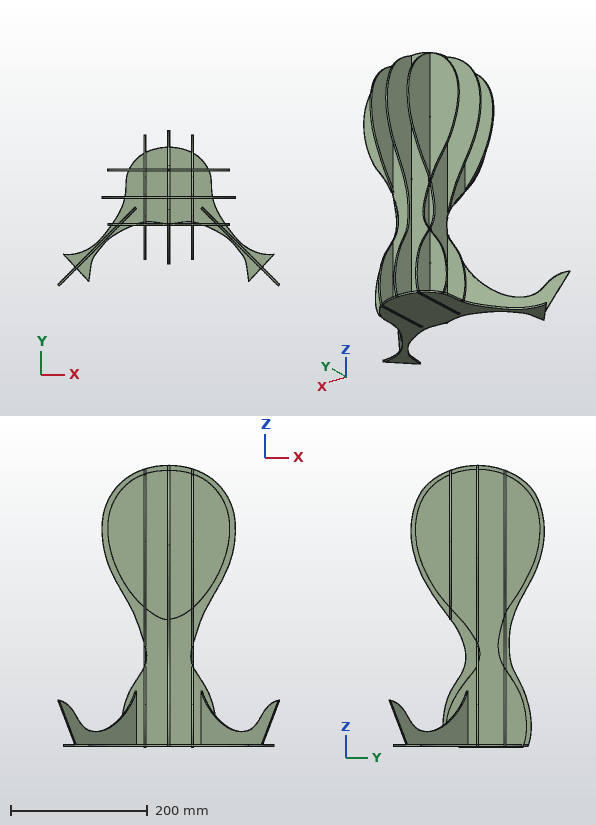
import cadquery as cq
import math


sheet = 3.0
total_height = 412.42
total_width = 324.64
rib_spacing = 35.0
plate_spacing = 40.0

base_bottom = 1.0
base_top = base_bottom + sheet
base_back = 73.5
base_front = -39.0
foot_back_corner = (154.2, -83.2)
foot_front_corner = (116.8, -123.2)
base_side_edge = [
    (29.0, 68.0), (42.0, 60.7), (50.5, 52.5), (57.5, 42.0), (61.5, 31.0), (62.8, 12.0), (66.0, -7.0),
    (72.0, -21.5), (90.0, -49.0), (107.0, -68.0), (124.0, -78.5),
]
base_front_edge = [
    (114.3, -103.5), (111.0, -90.0), (102.0, -76.7), (90.0, -63.0), (69.0, -49.0), (50.0, -40.3), (30.0, -35.8),
]

leg_angle = 45.0
leg_length = 160.0
leg_foot_length = 125.0
leg_back_height = 82.0
leg_tip_height = 68.8
half_across = sheet / 2 * math.sin(math.radians(leg_angle))
leg_tip_x = total_width / 2 - half_across
leg_tip_y = -128.5
leg_start_x = leg_tip_x - leg_length * math.cos(math.radians(leg_angle))
leg_start_y = leg_tip_y + leg_length * math.sin(math.radians(leg_angle))
leg_top_edge = [
    (9.0, 66.0), (25.0, 48.0), (47.0, 32.6), (66.0, 25.0), (86.0, 23.0), (101.0, 25.8), (115.0, 34.5),
    (128.0, 50.0), (142.0, 62.0),
]

middle_rib_front = [
    (-41.0, base_bottom), (-49.5, 19.0), (-50.7, 37.0), (-47.5, 60.0), (-38.5, 84.0), (-27.4, 101.3),
    (-19.2, 119.0), (-17.8, 138.0), (-21.0, 152.0), (-31.5, 175.4), (-49.4, 200.0), (-66.8, 224.7),
    (-81.0, 249.4), (-90.8, 274.0), (-97.7, 315.0), (-93.5, 348.0), (-81.5, 375.0), (-56.0, 397.5),
]
middle_rib_back = [
    (56.0, 397.5), (81.5, 375.0), (93.5, 348.0), (97.7, 315.0), (90.8, 274.0), (81.0, 249.4), (67.5, 224.7),
    (55.5, 200.0), (48.2, 175.4), (46.4, 145.0), (50.7, 117.8), (59.0, 101.3), (70.0, 76.6), (77.0, 50.0),
    (78.5, 25.0), (73.7, base_bottom),
]
side_rib_top = 406.6
side_rib_front = [
    (-36.0, base_top), (-45.8, 30.0), (-42.5, 52.0), (-26.0, 84.8), (-13.7, 101.3), (-1.4, 117.8), (3.0, 133.0),
    (2.5, 144.0), (-4.0, 158.9), (-15.0, 175.4), (-36.5, 200.0), (-57.6, 224.7), (-72.7, 249.4), (-83.5, 274.0),
    (-91.0, 315.0), (-86.8, 348.0), (-73.0, 375.0), (-43.2, 397.5),
]
side_rib_back = [
    (43.2, 397.5), (73.0, 375.0), (87.4, 348.0), (91.0, 315.0), (83.7, 274.0), (72.7, 249.4), (59.0, 224.7),
    (42.5, 200.0), (34.3, 175.4), (30.0, 150.0), (34.3, 126.0), (49.4, 101.3), (65.8, 68.4), (71.3, 35.5),
    (71.0, 20.0), (66.0, 0.0),
]
rib_tab_front = -27.0

middle_plate_edge = [
    (64.8, base_bottom), (69.0, 20.0), (68.0, 46.5), (58.5, 79.4), (43.9, 104.0), (36.0, 117.0), (32.5, 134.0),
    (36.0, 152.0), (41.5, 169.9), (50.7, 194.6), (63.8, 219.2), (77.9, 243.9), (89.0, 268.6), (97.7, 315.0),
    (95.3, 342.7), (85.5, 367.4), (64.0, 392.0),
]
outer_plate_top = 405.0
outer_plate_head = [
    (50.0, 219.2), (67.2, 243.9), (79.0, 268.6), (88.8, 310.0), (86.6, 342.7), (76.0, 367.4), (51.4, 392.0),
]
front_plate_bottom = 187.0
front_plate_edge = [(21.3, 194.0), *outer_plate_head]
back_plate_edge = [
    (60.0, base_bottom), (66.5, 20.0), (66.0, 46.5), (57.0, 79.4), (41.0, 104.0), (24.0, 134.0),
    (26.0, 165.0), (37.0, 194.6), *outer_plate_head,
]


def mirrored(points):
    """The points reflected in the vertical axis, in reverse order."""
    return [(-across, up) for across, up in reversed(points)]


def make_rib(x, front_edge, back_edge, top, foot=()):
    """Rib centred on the plane at x; foot lists bottom corners between the back and front edges."""
    outline = cq.Workplane("YZ", origin=(x - sheet / 2, 0, 0)).spline([*front_edge, (0, top), *back_edge])
    for corner in foot:
        outline = outline.lineTo(*corner)
    return outline.close().extrude(sheet)


def make_side_rib(x):
    tab_corners = [(rib_tab_front, 0), (rib_tab_front, base_top)]
    return make_rib(x, side_rib_front, side_rib_back, side_rib_top, tab_corners)


def plate_plane(y):
    return cq.Workplane("XZ", origin=(0, y + sheet / 2, 0))


def make_standing_plate(y, edge, top):
    """Plate with a flat foot, centred on the plane at y."""
    return plate_plane(y).spline([*edge, (0, top), *mirrored(edge)]).close().extrude(sheet)


def make_front_plate(y):
    """Egg-shaped plate that covers the head only."""
    loop = [(0, front_plate_bottom), *front_plate_edge, (0, outer_plate_top), *mirrored(front_plate_edge)]
    return plate_plane(y).spline(loop, periodic=True).close().extrude(sheet)


def make_base():
    """Base sheet with a round back and two flared feet."""
    back_curve = [foot_back_corner, *reversed(base_side_edge), (0, base_back)]
    back_curve += [(-x, y) for x, y in base_side_edge + [foot_back_corner]]
    front_curve = [(-x, y) for x, y in [foot_front_corner] + base_front_edge]
    front_curve += [(0, base_front), *reversed(base_front_edge), foot_front_corner]
    return (
        cq.Workplane("XY", origin=(0, 0, base_bottom))
        .spline(back_curve)
        .lineTo(*front_curve[0])
        .spline(front_curve[1:], includeCurrent=True)
        .close()
        .extrude(sheet)
    )


def make_leg():
    """Leg on the +X side, standing on the base and pointing diagonally to the front."""
    return (
        cq.Workplane("XZ", origin=(0, sheet / 2, 0))
        .moveTo(0, base_top)
        .lineTo(0, leg_back_height)
        .spline([*leg_top_edge, (leg_length, leg_tip_height)], includeCurrent=True)
        .lineTo(leg_foot_length, base_top)
        .close()
        .extrude(sheet)
        .rotate((0, 0, 0), (0, 0, 1), -leg_angle)
        .translate((leg_start_x, leg_start_y, 0))
    )


def lap_joint(rib, plate):
    """Slot both sheets where they cross: the rib keeps the lower half, the plate the upper."""
    for crossing in rib.intersect(plate, clean=False).solids().vals():
        box = crossing.BoundingBox()
        half_height = box.zlen / 2
        slot = cq.Workplane("XY").box(sheet, sheet, half_height, centered=(True, True, False))
        plate = plate.cut(slot.translate((box.center.x, box.center.y, box.zmin)))
        rib = rib.cut(slot.translate((box.center.x, box.center.y, box.zmin + half_height)))
    return rib, plate


base = make_base()
side_ribs = [make_side_rib(x) for x in (-rib_spacing, rib_spacing)]
for side_rib in side_ribs:
    base = base.cut(side_rib)

middle_rib = make_rib(0, middle_rib_front, middle_rib_back, total_height).cut(base)
front_plate = make_front_plate(-plate_spacing)
middle_plate = make_standing_plate(0, middle_plate_edge, total_height).cut(base)
back_plate = make_standing_plate(plate_spacing, back_plate_edge, outer_plate_top).cut(base)

ribs = [side_ribs[0], middle_rib, side_ribs[1]]
plates = [front_plate, middle_plate, back_plate]
for i in range(len(ribs)):
    for j in range(len(plates)):
        ribs[i], plates[j] = lap_joint(ribs[i], plates[j])

right_leg = make_leg()
legs = [right_leg, right_leg.mirror("YZ")]

result = cq.Compound.makeCompound([body.solids().val() for body in [base, *ribs, *plates, *legs]])